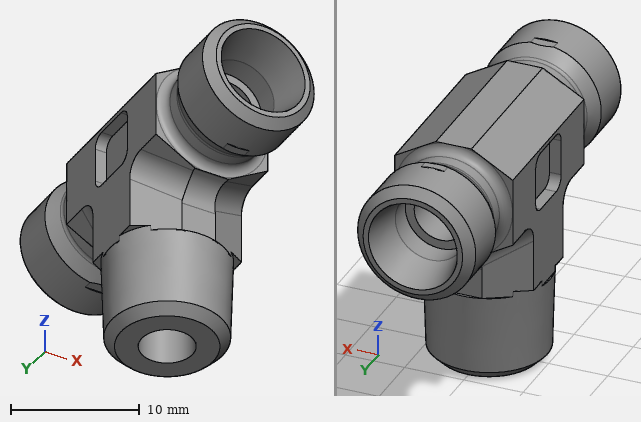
import cadquery as cq
import math

run_half_length = 15.0
branch_end = -17.0
bore_diameter = 4.5

across_flats = 10.0
corner_flat_width = 3.0
body_half_length = 7.0
crotch_radius = 2.0
half_flats = across_flats / 2
face_tilt = 30.0
tilt_slope = math.tan(math.radians(face_tilt))
side_corner = half_flats * tilt_slope
bar_half_height = 2 * side_corner - corner_flat_width / 2 * tilt_slope

collar_diameter = 10.0
collar_radius = collar_diameter / 2
neck_radius = 4.2
end_face_radius = 4.2
end_chamfer_length = 0.75
cone_outer = run_half_length - 4.62
cone_inner = run_half_length - 5.97
cone_blend_radius = 0.72
flare_radius = 0.78
collar_flat_length = 0.72

socket_radius = 3.0
socket_mouth_radius = 3.75
socket_half_angle = 12.0
socket_depth = 5.5

taper_top = -9.48
taper_top_diameter = 10.3
taper_top_radius = taper_top_diameter / 2
taper_slope = 1 / 32
branch_chamfer = 0.85
corner_trim_top = -9.03

recess_size = 5.0
recess_corner_radius = 1.0
recess_depth = 1.0


def run_bar():
    """Bar of the clipped hexagon section along the run."""
    right_side = [
        (corner_flat_width / 2, -bar_half_height),
        (half_flats, -side_corner),
        (half_flats, side_corner),
        (corner_flat_width / 2, bar_half_height),
    ]
    left_side = [(-x, z) for x, z in reversed(right_side)]
    outline = cq.Workplane("XZ").polyline(right_side + left_side).close()
    return outline.extrude(body_half_length, both=True)


def crotch_notch(angle, face_distance):
    """Space below one run face and in front of the branch face that meets it.

    Both faces lie face_distance from their bar's axis and are turned about it by
    angle. The edge where they meet is rounded.
    """
    size = run_half_length * 2
    below_run = (
        cq.Workplane("XY", origin=(0, 0, -face_distance))
        .rect(size, size)
        .extrude(-size)
        .rotate((0, 0, 0), (0, 1, 0), -angle)
    )
    before_branch = (
        cq.Workplane("XZ", origin=(0, -face_distance, 0))
        .rect(size, size)
        .extrude(size)
        .rotate((0, 0, 0), (0, 0, 1), angle)
    )
    notch = below_run.intersect(before_branch)
    edge_x = face_distance * math.sin(math.radians(angle))
    edge_depth = -face_distance * math.cos(math.radians(angle))
    inner_edge = cq.selectors.NearestToPointSelector((edge_x, edge_depth, edge_depth))
    return notch.edges(inner_edge).fillet(crotch_radius)


def forged_body():
    """Run and branch bars, with the crotch between them rounded on both sides."""
    lower_block = (
        cq.Workplane("XY")
        .rect(across_flats, body_half_length * 2)
        .extrude(taper_top)
    )
    meeting_faces = (
        (-face_tilt, half_flats),
        (0, bar_half_height),
        (face_tilt, half_flats),
    )
    for angle, face_distance in meeting_faces:
        notch = crotch_notch(angle, face_distance)
        lower_block = lower_block.cut(notch).cut(notch.mirror("XZ"))
    return run_bar().union(lower_block)


def taper_radius(z):
    return taper_top_radius + taper_slope * (z - taper_top)


def tapered_plug(top):
    """Tapered, end-chamfered plug about Z, from the given height to the branch end."""
    chamfer_top = branch_end + branch_chamfer
    chamfer_radius = taper_radius(chamfer_top)
    return (
        cq.Workplane("XZ")
        .moveTo(0, top)
        .lineTo(taper_radius(top), top)
        .lineTo(chamfer_radius, chamfer_top)
        .lineTo(chamfer_radius - branch_chamfer, branch_end)
        .lineTo(0, branch_end)
        .close()
        .revolve(360, (0, 0), (0, 1))
    )


def branch_corner_trim():
    """Ring that turns the branch corners down to the taper just above the thread."""
    disk = (
        cq.Workplane("XY", origin=(0, 0, taper_top))
        .circle(across_flats)
        .extrude(corner_trim_top - taper_top)
    )
    return disk.cut(tapered_plug(corner_trim_top))


def run_end():
    """Run end on the +Y side, turned about Y."""
    cone_angle = math.atan2(collar_radius - neck_radius, cone_outer - cone_inner)
    blend_half = cone_angle / 2
    blend_length = cone_blend_radius * math.tan(blend_half)
    blend_end = (
        neck_radius + blend_length * math.sin(cone_angle),
        cone_inner + blend_length * math.cos(cone_angle),
    )
    blend_start = (neck_radius, cone_inner - blend_length)
    blend_middle = (
        neck_radius + cone_blend_radius * (1 - math.cos(blend_half)),
        blend_start[1] + cone_blend_radius * math.sin(blend_half),
    )
    flare_end = body_half_length + flare_radius
    flare_middle = (
        neck_radius + flare_radius * (1 - math.sqrt(0.5)),
        flare_end - flare_radius * math.sqrt(0.5),
    )
    end = (
        cq.Workplane("XY")
        .moveTo(0, body_half_length)
        .lineTo(neck_radius + flare_radius, body_half_length)
        .threePointArc(flare_middle, (neck_radius, flare_end))
        .lineTo(*blend_start)
        .threePointArc(blend_middle, blend_end)
        .lineTo(collar_radius, cone_outer)
        .lineTo(collar_radius, run_half_length - end_chamfer_length)
        .lineTo(end_face_radius, run_half_length)
        .lineTo(0, run_half_length)
        .close()
        .revolve(360, (0, 0), (0, 1))
    )
    flat_length = cone_outer + collar_flat_length - body_half_length
    frame_opening_width = collar_diameter * 2
    frame_size = collar_diameter * 3
    above_and_below_body = (
        cq.Workplane("XZ", origin=(0, body_half_length, 0))
        .rect(frame_size, frame_size)
        .rect(frame_opening_width, bar_half_height * 2)
        .extrude(-flat_length)
    )
    return end.cut(above_and_below_body)


def tube_socket():
    """Conical mouth and straight seat on the +Y side, turned about Y."""
    mouth_slope = math.tan(math.radians(socket_half_angle))
    mouth_length = (socket_mouth_radius - socket_radius) / mouth_slope
    seat = run_half_length - socket_depth
    return (
        cq.Workplane("XY")
        .moveTo(0, seat)
        .lineTo(socket_radius, seat)
        .lineTo(socket_radius, run_half_length - mouth_length)
        .lineTo(socket_mouth_radius, run_half_length)
        .lineTo(0, run_half_length)
        .close()
        .revolve(360, (0, 0), (0, 1))
    )


def bores():
    run_bore = cq.Workplane("XZ").circle(bore_diameter / 2).extrude(run_half_length, both=True)
    branch_bore = cq.Workplane("XY").circle(bore_diameter / 2).extrude(branch_end)
    return run_bore.union(branch_bore)


def side_recess():
    return (
        cq.Workplane("YZ", origin=(-half_flats, 0, 0))
        .rect(recess_size, recess_size)
        .extrude(recess_depth)
        .edges("|X")
        .fillet(recess_corner_radius)
    )


def both_ends(shape):
    """The +Y shape together with its mirror image on the -Y side."""
    return shape.union(shape.mirror("XZ"))


body = forged_body().cut(branch_corner_trim())
solid_fitting = body.union(tapered_plug(taper_top)).union(both_ends(run_end()))
bored_fitting = solid_fitting.cut(bores()).cut(both_ends(tube_socket()))
result = bored_fitting.cut(side_recess()).solids()